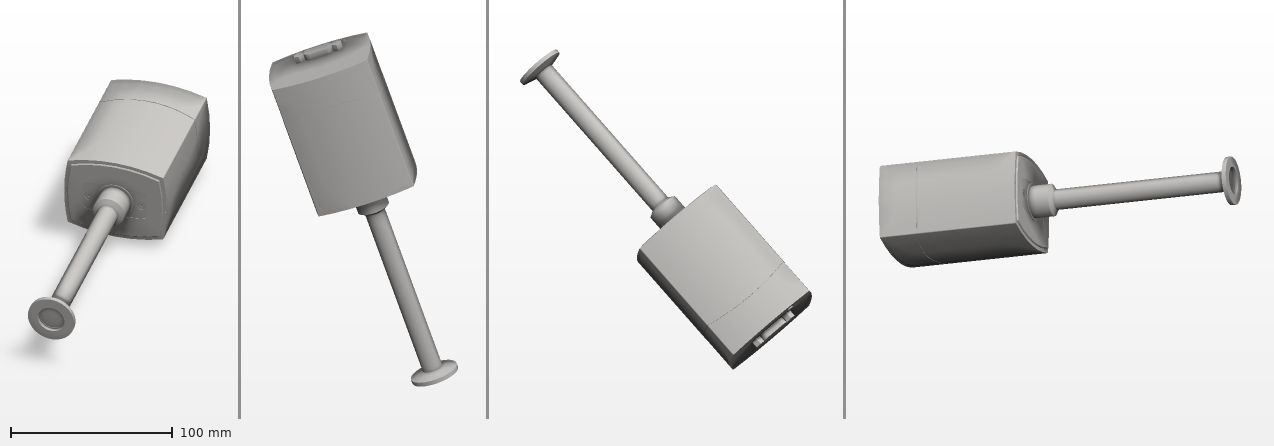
import cadquery as cq
import math

hub_chamfer_start_y = 115.3
hub_chamfer_end_y = 117.5
collar_y = 130.2
face_plate_y = 130.5
body_front_y = 131.5
seam_side_y = 195.5
seam_middle_y = 199.7
body_back_y = 220.1
total_length = 224.5

body_width = 66.5
body_height = 56.0
corner_x = 31.0
corner_z = 23.3
corner_radius = 0.7
face_plate_inset = 2.2
face_plate_chamfer = 0.55
rim_notch_height = 4.7
rim_notch_width = 2.0
rim_notch_depth = 0.2

seam_width = 0.5
seam_depth = 0.34

adapter_width = 41.5
adapter_height = 22.5
adapter_corner_x = 20.2
adapter_corner_z = 9.5
adapter_corner_radius = 1.3
adapter_recess = 0.2
screw_x = 17.0
screw_diameter = 6.0
screw_recess = 0.2
socket_diameter = 2.15
socket_depth = 0.5

collar_diameter = 24.0
hub_diameter = 20.2
tube_diameter = 12.8
flange_diameter = 30.0
flange_rim = 2.7
flange_cone_end_y = 5.2
flange_bore = 17.3
flange_bore_depth = 2.2
flange_step_bore = 16.0
flange_step_depth = 2.7

connector_z = 10.8
shell_width = 18.5
shell_height = 9.0
shell_radius = 3.8
shell_lip_thickness = 1.1
shell_lip_overhang = 0.2
standoff_x = 12.3
standoff_flats = 6.0
standoff_turn = 30
lamp_x = -15.3
lamp_z = 20.5
lamp_diameter = 4.0
lamp_height = 0.7


def plane_at(y):
    """Workplane across the tube axis, with +X to the right, +Z up and extrusion toward -Y."""
    return cq.Workplane("XZ", origin=(0, y, 0))


def bulged_outline(y, width, height, side_x, side_z):
    """Closed four-arc outline whose sides bulge out between the corners."""
    return (
        plane_at(y)
        .moveTo(-side_x, side_z)
        .threePointArc((0, height / 2), (side_x, side_z))
        .threePointArc((width / 2, 0), (side_x, -side_z))
        .threePointArc((0, -height / 2), (-side_x, -side_z))
        .threePointArc((-width / 2, 0), (-side_x, side_z))
        .close()
    )


def body_block(front_y, back_y, inset=0.0):
    """Housing section between two stations, optionally shrunk by an even inset."""
    block = bulged_outline(
        back_y,
        body_width - 2 * inset,
        body_height - 2 * inset,
        corner_x - inset,
        corner_z - inset,
    ).extrude(back_y - front_y)
    return block.edges("|Y").fillet(corner_radius)


def seam_groove():
    """Thin ring cut where the curved joint with the rear cap meets the skin."""
    half = body_width / 2
    joint = (
        cq.Workplane("XY", origin=(0, 0, -body_height))
        .moveTo(-half, seam_side_y)
        .threePointArc((0, seam_middle_y), (half, seam_side_y))
        .lineTo(half, seam_side_y - seam_width)
        .threePointArc((0, seam_middle_y - seam_width), (-half, seam_side_y - seam_width))
        .close()
        .extrude(2 * body_height)
    )
    return joint.cut(body_block(body_front_y, body_back_y, seam_depth))


def housing():
    body = body_block(body_front_y, body_back_y)
    face_plate = body_block(face_plate_y, body_back_y, face_plate_inset)
    face_plate = face_plate.faces("<Y").chamfer(face_plate_chamfer)
    body = body.union(face_plate)
    body = body.cut(seam_groove())
    for side in (-1, 1):
        notch = cq.Workplane("XY").box(2 * rim_notch_width, 2 * rim_notch_depth, rim_notch_height)
        body = body.cut(notch.translate((side * body_width / 2, body_front_y, 0)))
    return body


def adapter_recess_cut():
    """Shallow recess for the adapter plate, plus the two screw holes with their sockets."""
    floor_y = face_plate_y + adapter_recess
    cutter = (
        bulged_outline(floor_y, adapter_width, adapter_height, adapter_corner_x, adapter_corner_z)
        .extrude(adapter_recess)
        .edges("|Y")
        .fillet(adapter_corner_radius)
    )
    screw_places = [(-screw_x, 0), (screw_x, 0)]
    head_y = floor_y + screw_recess
    heads = plane_at(head_y).pushPoints(screw_places).circle(screw_diameter / 2).extrude(screw_recess)
    socket_y = head_y + socket_depth
    sockets = plane_at(socket_y).pushPoints(screw_places).circle(socket_diameter / 2).extrude(socket_depth)
    return cutter.union(heads).union(sockets)


def tube_and_flange():
    """Collar, chamfered hub, tube and conical-backed flange turned about the Y axis."""
    root_y = face_plate_y + 2 * adapter_recess
    profile = [
        (0, flange_step_depth),
        (flange_step_bore / 2, flange_step_depth),
        (flange_step_bore / 2, flange_bore_depth),
        (flange_bore / 2, flange_bore_depth),
        (flange_bore / 2, 0),
        (flange_diameter / 2, 0),
        (flange_diameter / 2, flange_rim),
        (tube_diameter / 2, flange_cone_end_y),
        (tube_diameter / 2, hub_chamfer_start_y),
        (hub_diameter / 2, hub_chamfer_end_y),
        (hub_diameter / 2, collar_y),
        (collar_diameter / 2, collar_y),
        (collar_diameter / 2, root_y),
        (0, root_y),
    ]
    return cq.Workplane("XY").polyline(profile).close().revolve(360, (0, 0, 0), (0, 1, 0))


def rounded_shell(depth, inset):
    """Rounded rectangular block reaching forward from the rearmost face."""
    return (
        plane_at(total_length)
        .center(0, connector_z)
        .rect(shell_width - 2 * inset, shell_height - 2 * inset)
        .extrude(depth)
        .edges("|Y")
        .fillet(shell_radius - inset)
    )


def rear_connector():
    """Lipped connector shell between two hexagonal standoffs."""
    height = total_length - body_back_y
    connector = rounded_shell(shell_lip_thickness, 0).union(rounded_shell(height, shell_lip_overhang))
    standoff_corners = standoff_flats / math.cos(math.radians(standoff_turn))
    for side in (-1, 1):
        standoff = plane_at(total_length).polygon(6, standoff_corners).extrude(height)
        standoff = standoff.rotate((0, 0, 0), (0, 1, 0), standoff_turn)
        connector = connector.union(standoff.translate((side * standoff_x, 0, connector_z)))
    return connector


def lamp():
    disc = plane_at(body_back_y + lamp_height).center(lamp_x, lamp_z)
    return disc.circle(lamp_diameter / 2).extrude(lamp_height)


result = (
    housing()
    .cut(adapter_recess_cut())
    .union(tube_and_flange())
    .union(rear_connector())
    .union(lamp())
)